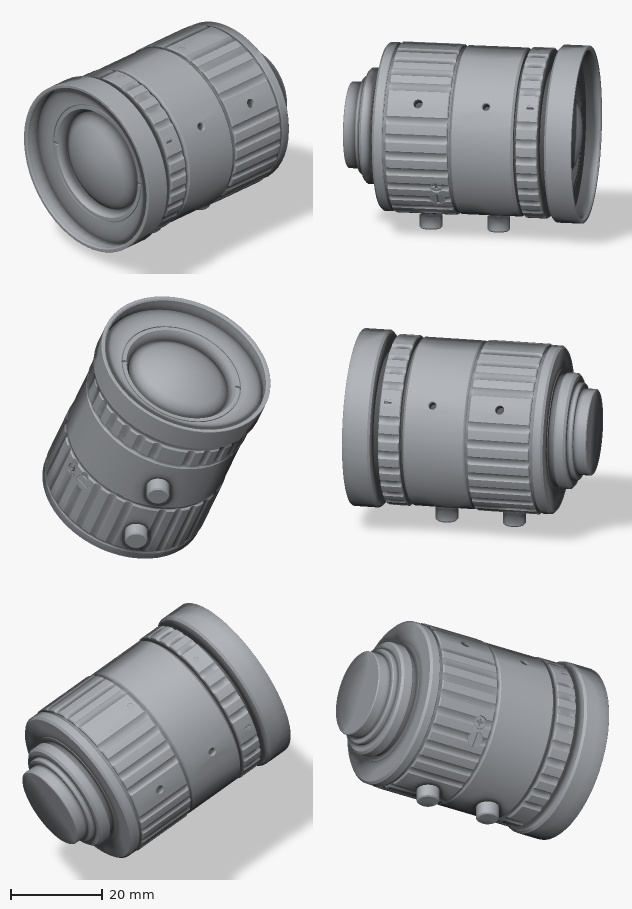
import cadquery as cq
import math


front_rim_rear = 6.1
focus_front = 7.85
focus_rear = 12.5
barrel_front = 13.2
barrel_rear = 27.25
iris_front = 27.75
iris_rear = 41.45
flange_front = 42.1
flange_rear = 44.5
pad_rear = 44.65
mount_front = 45.65
mount_rear = 48.4
step_rear = 49.6
overall_length = 52.46
overall_height = 41.85

front_rim_dia = 39.0
cone_front_dia = 29.8
cone_rear_dia = 28.8
grip_dia = 37.4
barrel_dia = 37.0
front_neck_dia = 33.8
iris_neck_dia = 36.1
pad_dia = 26.9
mount_neck_dia = 24.6
mount_dia = 25.5
step_dia = 21.5
tube_dia = 19.0

edge_chamfer = 0.5
grip_chamfer = 0.2
rim_front_chamfer = 0.1
small_chamfer = 0.2

mouth_dia = 37.6
recess_dia = 37.0
recess_depth = 3.4
mouth_depth = 0.3
ring_groove_outer_dia = 27.5
ring_groove_inner_dia = 27.0
ring_groove_depth = 0.3
bezel_dia = 25.3
glass_dia = 22.8
bezel_depth = 2.0
dome_height = 4.3
spanner_slot_width = 0.7
spanner_slot_depth = 0.5
spanner_slot_inner_radius = 12.0

flute_count = 30
flute_pitch = 360 / flute_count
plain_angles = (30, 90, 150, 270)
flute_cutter_dia = 2.5
flute_depth = 0.5

hole_angles = (30, 150)
thumbscrew_angle = 270
iris_screw_y = 34.55
barrel_screw_y = 19.5
focus_screw_y = 9.6
iris_hole_dia = 2.0
tapped_hole_dia = 1.57
tapped_mouth_dia = 2.0
tapped_mouth_depth = (tapped_mouth_dia - tapped_hole_dia) / 2
hole_depth = 2.5
set_screw_dia = 1.7
set_screw_sink = 0.1
set_screw_slot_width = 0.5
set_screw_slot_depth = 0.6

thumb_head_dia = 5.0
thumb_neck_dia = 1.7
thumb_gap = 0.8
thumb_end_radius = overall_height - front_rim_dia / 2
thumb_chamfer = 0.3
thumb_embed = 1.0

dot_angle = 90
iris_dot_y = 29.4
focus_dot_y = 10.85
dot_dia = 1.5
dot_depth = 0.1

stop_screw_y = 30.62
cross_screw_angle = 210
slotted_screw_angle = cross_screw_angle + flute_pitch
cross_bore_dia = 3.0
cross_head_dia = 2.8
cross_bore_depth = 1.0
cross_head_height = 0.6
cross_slot_length = 1.6
cross_slot_width = 0.5
cross_slot_depth = 0.4
slotted_bore_dia = 3.5
slotted_head_dia = 3.4
slotted_head_thickness = 1.0
slotted_head_sink = 0.1
slotted_head_top_radius = grip_dia / 2 - slotted_head_sink
slotted_slot_width = 0.4
slotted_slot_depth = 0.4

cut_margin = 1.0


def turned(points):
    """Solid of revolution about the Y axis from (radius, y) points."""
    return cq.Workplane("XY").polyline(points).close().revolve(360, (0, 0, 0), (0, 1, 0))


def band(front, rear, dia, front_chamfer=0.0, rear_chamfer=0.0):
    """Solid disc about the Y axis with a chamfer on either end."""
    radius = dia / 2
    points = [(0, front), (radius - front_chamfer, front)]
    if front_chamfer:
        points.append((radius, front + front_chamfer))
    if rear_chamfer:
        points.append((radius, rear - rear_chamfer))
    points += [(radius - rear_chamfer, rear), (0, rear)]
    return turned(points)


def radial_plane(angle, y, radius):
    """Plane facing outward at a point on the barrel, with its x direction along the lens axis."""
    outward = (math.cos(math.radians(angle)), 0, math.sin(math.radians(angle)))
    origin = (radius * outward[0], y, radius * outward[2])
    return cq.Plane(origin=origin, xDir=(0, 1, 0), normal=outward)


def radial_rod(angle, y, dia, inner_radius, outer_radius):
    plane = radial_plane(angle, y, inner_radius)
    return cq.Workplane(plane).circle(dia / 2).extrude(outer_radius - inner_radius)


def radial_slot(angle, y, axial_size, cross_size, inner_radius, outer_radius):
    plane = radial_plane(angle, y, inner_radius)
    return cq.Workplane(plane).rect(axial_size, cross_size).extrude(outer_radius - inner_radius)


def fluted_grip(front, rear):
    """Grip ring scalloped by shallow round flutes."""
    grip = band(front, rear, grip_dia, grip_chamfer, grip_chamfer)
    cutter_radius = flute_cutter_dia / 2
    cutter_center = grip_dia / 2 - flute_depth + cutter_radius
    first_angle = plain_angles[0]
    for index in range(flute_count):
        angle = first_angle + index * flute_pitch
        if angle % 360 in plain_angles:
            continue
        center = cq.Vector(cutter_center, front, 0)
        cutter = cq.Solid.makeCylinder(cutter_radius, rear - front, center, cq.Vector(0, 1, 0))
        grip = grip.cut(cq.Workplane(cutter.rotate(cq.Vector(0, 0, 0), cq.Vector(0, 1, 0), -angle)))
    return grip


def front_recess():
    """Space in front of the retaining ring and the domed glass."""
    bezel_rear = recess_depth + bezel_depth
    glass_radius = glass_dia / 2
    dome_radius = (glass_radius**2 + dome_height**2) / (2 * dome_height)
    half_angle = math.asin(glass_radius / dome_radius) / 2
    apex = bezel_rear - dome_height
    dome_middle = (dome_radius * math.sin(half_angle), apex + dome_radius * (1 - math.cos(half_angle)))
    return (
        cq.Workplane("XY")
        .lineTo(mouth_dia / 2, 0)
        .lineTo(recess_dia / 2, mouth_depth)
        .lineTo(recess_dia / 2, recess_depth)
        .lineTo(bezel_dia / 2, recess_depth)
        .lineTo(glass_radius, bezel_rear)
        .threePointArc(dome_middle, (0, apex))
        .close()
        .revolve(360, (0, 0, 0), (0, 1, 0))
    )


def retaining_ring_marks():
    """Joint groove round the retaining ring and its two spanner slots."""
    groove_rear = recess_depth + ring_groove_depth
    marks = band(recess_depth, groove_rear, ring_groove_outer_dia)
    marks = marks.cut(band(recess_depth, groove_rear, ring_groove_inner_dia))
    slot_length = ring_groove_outer_dia / 2 - spanner_slot_inner_radius
    for side in (-1, 1):
        slot = cq.Workplane("XY").box(slot_length, spanner_slot_depth, spanner_slot_width)
        slot_x = side * (spanner_slot_inner_radius + slot_length / 2)
        marks = marks.union(slot.translate((slot_x, recess_depth + spanner_slot_depth / 2, 0)))
    return marks


def thumbscrew(y, seat_radius):
    head_start = seat_radius + thumb_gap
    neck = radial_rod(thumbscrew_angle, y, thumb_neck_dia, seat_radius - thumb_embed, head_start)
    head = radial_rod(thumbscrew_angle, y, thumb_head_dia, head_start, thumb_end_radius)
    return neck.union(head.faces("<Z").chamfer(thumb_chamfer))


def tapped_hole(angle, y, surface_radius):
    """Blind tapped hole with a countersunk mouth."""
    hole = radial_rod(angle, y, tapped_hole_dia, surface_radius - hole_depth, surface_radius + cut_margin)
    plane = radial_plane(angle, y, surface_radius)
    mouth = (
        cq.Workplane(plane)
        .circle(tapped_mouth_dia / 2)
        .workplane(offset=-tapped_mouth_depth)
        .circle(tapped_hole_dia / 2)
        .loft()
    )
    return hole.union(mouth)


def set_screw_slot(angle, y, surface_radius):
    """Mouth of a slotted set screw: a shallow round sinking crossed by the driver slot."""
    outer = surface_radius + cut_margin
    floor = surface_radius - set_screw_sink
    sinking = radial_rod(angle, y, set_screw_dia, floor, outer)
    slot = radial_slot(angle, y, set_screw_dia, set_screw_slot_width, floor - set_screw_slot_depth, outer)
    column = radial_rod(angle, y, set_screw_dia, floor - set_screw_slot_depth, outer)
    return sinking.union(slot.intersect(column))


def cross_screw_recess():
    """Counterbore holding a cross-recessed screw head."""
    surface = grip_dia / 2
    floor = surface - cross_bore_depth
    head_top = floor + cross_head_height
    slot_floor = head_top - cross_slot_depth
    where = (cross_screw_angle, stop_screw_y)
    head = radial_rod(*where, cross_head_dia, floor, head_top)
    for size in ((cross_slot_length, cross_slot_width), (cross_slot_width, cross_slot_length)):
        head = head.cut(radial_slot(*where, *size, slot_floor, head_top))
    return radial_rod(*where, cross_bore_dia, floor, surface + cut_margin).cut(head)


def make_slotted_screw():
    bottom = slotted_head_top_radius - slotted_head_thickness
    slot_floor = slotted_head_top_radius - slotted_slot_depth
    where = (slotted_screw_angle, stop_screw_y)
    head = radial_rod(*where, slotted_head_dia, bottom, slotted_head_top_radius)
    slot = radial_slot(*where, slotted_slot_width, slotted_head_dia, slot_floor, slotted_head_top_radius)
    return head.cut(slot)


def make_housing():
    cone = turned(
        [
            (0, front_rim_rear),
            (cone_front_dia / 2, front_rim_rear),
            (cone_rear_dia / 2, focus_front),
            (0, focus_front),
        ]
    )
    sections = [
        cone,
        fluted_grip(focus_front, focus_rear),
        band(focus_rear, barrel_front, front_neck_dia),
        band(barrel_front, barrel_rear, barrel_dia, edge_chamfer, edge_chamfer),
        band(barrel_rear, iris_front, iris_neck_dia),
        fluted_grip(iris_front, iris_rear),
        band(iris_rear, flange_front, iris_neck_dia),
        band(flange_front, flange_rear, barrel_dia, small_chamfer, edge_chamfer),
        band(flange_rear, pad_rear, pad_dia),
        band(pad_rear, mount_front, mount_neck_dia),
        band(mount_front, mount_rear, mount_dia, small_chamfer, edge_chamfer),
        band(mount_rear, step_rear, step_dia, rear_chamfer=small_chamfer),
        band(step_rear, overall_length, tube_dia, rear_chamfer=small_chamfer),
        thumbscrew(iris_screw_y, grip_dia / 2),
        thumbscrew(barrel_screw_y, barrel_dia / 2),
    ]
    body = band(0, front_rim_rear, front_rim_dia, rim_front_chamfer, edge_chamfer)
    for section in sections:
        body = body.union(section)

    body = body.cut(front_recess()).cut(retaining_ring_marks())

    grip_radius = grip_dia / 2
    outer = grip_radius + cut_margin
    for angle in hole_angles:
        body = body.cut(radial_rod(angle, iris_screw_y, iris_hole_dia, grip_radius - hole_depth, outer))
        body = body.cut(tapped_hole(angle, barrel_screw_y, barrel_dia / 2))
        body = body.cut(set_screw_slot(angle, focus_screw_y, grip_radius))
    for dot_y in (iris_dot_y, focus_dot_y):
        body = body.cut(radial_rod(dot_angle, dot_y, dot_dia, grip_radius - dot_depth, outer))

    slotted_bore_floor = slotted_head_top_radius - slotted_head_thickness
    slotted_bore = radial_rod(slotted_screw_angle, stop_screw_y, slotted_bore_dia, slotted_bore_floor, outer)
    return body.cut(cross_screw_recess()).cut(slotted_bore)


housing = make_housing()
slotted_screw = make_slotted_screw()

result = cq.Compound.makeCompound([housing.val(), slotted_screw.val()])